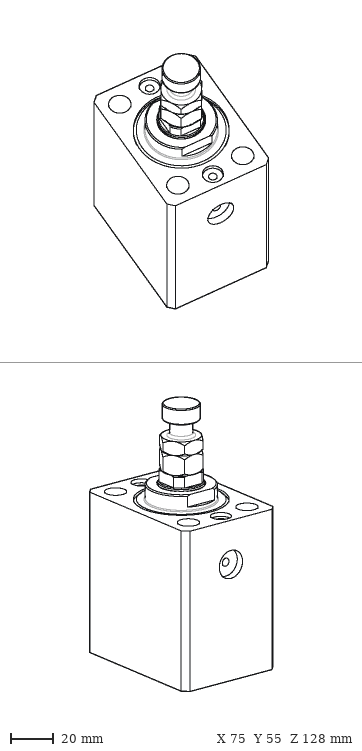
import cadquery as cq
import math


BLOCK_X = 75.0
BLOCK_Y = 55.0
BLOCK_Z = 80.0
CORNER_CHAMFER = 3.0
MOUNT_HOLE_D = 10.5
MOUNT_PITCH_X = 55.0
MOUNT_PITCH_Y = 35.1

CHANNEL_D = 4.0
TOP_PORT_D = 9.9
TOP_PORT_DEPTH = 1.9
TOP_PORT_X = 30.0
SIDE_PORT_D = 14.0
SIDE_PORT_DEPTH = 4.0
SIDE_PORT_Z = BLOCK_Z - 22.0

BARREL_D = 45.0
BARREL_DEPTH = 30.0
BARREL_CHAMFER = 1.4
NOSE_D = 34.0
NOSE_HEIGHT = 8.0
NOSE_CHAMFER = 0.6
NOSE_ROOT_FILLET = 0.5
NOSE_FLATS = 30.0
FLATS_START = 2.0
BORE_CHAMFER = 0.5

ROD_D = 22.0
ROD_CHAMFER = 0.5
SHOULDER_RISE = 1.2
ROD_END_D = 21.0
ROD_END_FLATS = 18.0
ROD_END_LENGTH = 5.8
ROD_END_CHAMFER = 0.5

HEX_FLATS = 19.2
LOWER_HEX_LENGTH = 10.0
UPPER_HEX_LENGTH = 7.0
NECK_D = 11.0
NECK_LENGTH = 8.0
NECK_FILLET = 1.3
HEAD_D = 18.0
HEAD_CHAMFER = 0.5

TOTAL_HEIGHT = 128.0
BARREL_BOTTOM_Z = BLOCK_Z - BARREL_DEPTH
NOSE_TOP_Z = BLOCK_Z + NOSE_HEIGHT
SHOULDER_Z = NOSE_TOP_Z + SHOULDER_RISE
ROD_TOP_Z = SHOULDER_Z + ROD_END_LENGTH
UPPER_HEX_Z = ROD_TOP_Z + LOWER_HEX_LENGTH
NECK_Z = UPPER_HEX_Z + UPPER_HEX_LENGTH
HEAD_Z = NECK_Z + NECK_LENGTH
HEX_CORNERS = HEX_FLATS / math.cos(math.pi / 6)
HEX_CHAMFER = (HEX_CORNERS - HEX_FLATS) / 2

SMALLEST_CIRCLE = cq.selectors.RadiusNthSelector(0)


def cylinder(diameter, bottom_z, top_z, x=0):
    """Upright cylinder between two levels."""
    return cq.Workplane("XY", origin=(x, 0, bottom_z)).circle(diameter / 2).extrude(top_z - bottom_z)


def prism(size_x, size_y, bottom_z, top_z):
    """Upright rectangular prism centred on the Z axis."""
    return cq.Workplane("XY", origin=(0, 0, bottom_z)).rect(size_x, size_y).extrude(top_z - bottom_z)


def cut_oil_port(body, side):
    """Top and side recess, with channels that meet and run on into the gland seat; side is -1 or +1 along X."""
    port_x = side * TOP_PORT_X
    body = body.cut(cylinder(TOP_PORT_D, BLOCK_Z - TOP_PORT_DEPTH, BLOCK_Z, port_x))
    body = body.cut(cylinder(CHANNEL_D, SIDE_PORT_Z, BLOCK_Z, port_x))
    side_face = cq.Workplane("YZ", origin=(side * BLOCK_X / 2, 0, SIDE_PORT_Z))
    body = body.cut(side_face.circle(SIDE_PORT_D / 2).extrude(-side * SIDE_PORT_DEPTH))
    return body.cut(side_face.circle(CHANNEL_D / 2).extrude(-side * BLOCK_X / 2))


def make_housing():
    """Block with chamfered corners, mounting holes, gland seat and oil ports."""
    body = prism(BLOCK_X, BLOCK_Y, 0, BLOCK_Z).edges("|Z").chamfer(CORNER_CHAMFER)
    mount_holes = (
        cq.Workplane("XY")
        .rect(MOUNT_PITCH_X, MOUNT_PITCH_Y, forConstruction=True)
        .vertices()
        .circle(MOUNT_HOLE_D / 2)
        .extrude(BLOCK_Z)
    )
    body = body.cut(mount_holes)
    body = body.cut(cylinder(BARREL_D, BARREL_BOTTOM_Z, BLOCK_Z))
    for side in (-1, 1):
        body = cut_oil_port(body, side)
    return body


def make_gland():
    """Barrel flush with the block top, nose with two wrench flats, and the rod bore."""
    barrel = cylinder(BARREL_D, BARREL_BOTTOM_Z, BLOCK_Z).faces(">Z").chamfer(BARREL_CHAMFER)
    nose = cylinder(NOSE_D, BLOCK_Z, NOSE_TOP_Z).faces(">Z").chamfer(NOSE_CHAMFER)
    body = barrel.union(nose)
    flange_face = cq.selectors.NearestToPointSelector((0, 0, BLOCK_Z))
    body = body.faces(flange_face).edges(SMALLEST_CIRCLE).fillet(NOSE_ROOT_FILLET)
    flats_z = BLOCK_Z + FLATS_START
    kept_nose = prism(NOSE_FLATS, NOSE_D, flats_z, NOSE_TOP_Z)
    body = body.cut(prism(NOSE_D, NOSE_D, flats_z, NOSE_TOP_Z).cut(kept_nose))
    body = body.cut(cylinder(ROD_D, BARREL_BOTTOM_Z, NOSE_TOP_Z))
    return body.faces(">Z").edges("%CIRCLE").edges(SMALLEST_CIRCLE).chamfer(BORE_CHAMFER)


def make_rod():
    """Rod with a chamfered shoulder and a reduced end that carries four flats."""
    shaft = cylinder(ROD_D, BARREL_BOTTOM_Z, SHOULDER_Z).faces(">Z").chamfer(ROD_CHAMFER)
    rod_end = cylinder(ROD_END_D, SHOULDER_Z, ROD_TOP_Z).faces(">Z").chamfer(ROD_END_CHAMFER)
    rod_end = rod_end.intersect(prism(ROD_END_FLATS, ROD_END_FLATS, SHOULDER_Z, ROD_TOP_Z))
    return shaft.union(rod_end)


def hexagon(bottom_z, top_z):
    """Hexagon with flats facing +X and -X, its corners turned down to the flats at both ends."""
    prism_six = (
        cq.Workplane("XY", origin=(0, 0, bottom_z))
        .transformed(rotate=(0, 0, 30))
        .polygon(6, HEX_CORNERS)
        .extrude(top_z - bottom_z)
    )
    turned = cylinder(HEX_CORNERS, bottom_z, top_z).faces("<Z or >Z").chamfer(HEX_CHAMFER)
    return prism_six.intersect(turned)


def make_screw():
    """Double hexagon, filleted neck and round head."""
    lower_hex = hexagon(ROD_TOP_Z, UPPER_HEX_Z)
    upper_hex = hexagon(UPPER_HEX_Z, NECK_Z)
    neck = cylinder(NECK_D, NECK_Z, HEAD_Z)
    head = cylinder(HEAD_D, HEAD_Z, TOTAL_HEIGHT).faces("<Z or >Z").chamfer(HEAD_CHAMFER)
    upper_part = upper_hex.union(neck).union(head)
    upper_part = upper_part.edges("%CIRCLE").edges(SMALLEST_CIRCLE).fillet(NECK_FILLET)
    return lower_hex.union(upper_part)


housing = make_housing()
gland = make_gland()
rod = make_rod()
screw = make_screw()

result = cq.Compound.makeCompound([housing.val(), gland.val(), rod.val(), screw.val()])